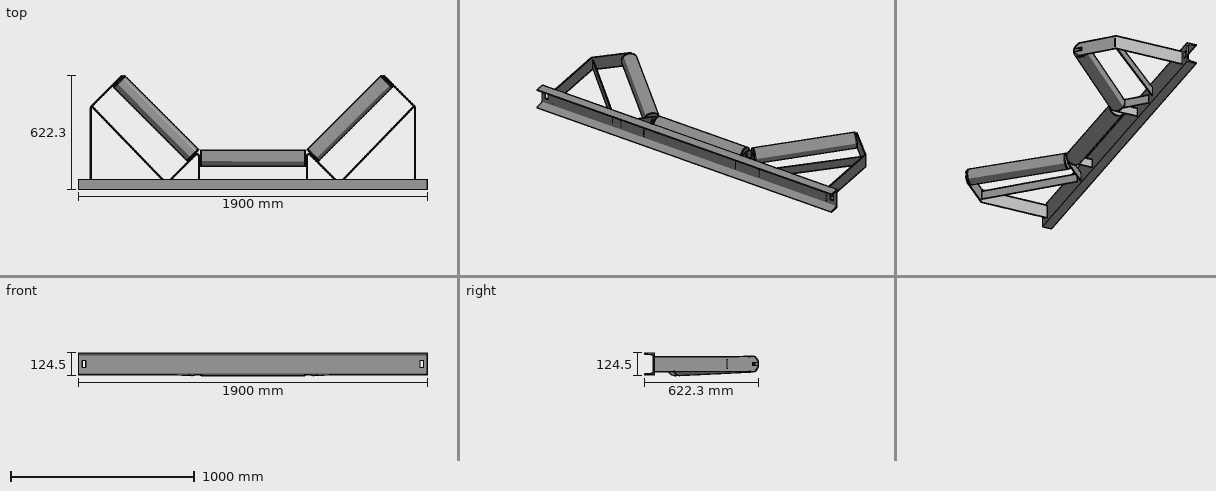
import cadquery as cq
import math


channel_length = 1900.0
channel_height = 120.0
flange_width = 55.0
web_thickness = 7.0
flange_mid_thickness = 9.0
flange_taper = 0.08
root_radius = 9.0
toe_radius = 4.5

mount_slot_width = 18.0
mount_slot_height = 36.0
mount_slot_end_distance = 30.0

shell_diameter = 89.0
shell_length = 560.0
cap_diameter = 88.0
cap_length = 6.5
shaft_width = 18.0
shaft_height = 14.0
roller_clearance = 4.0

trough_angle = math.radians(45)
tilt_angle = math.radians(2)
center_roller_y = 115.0
wing_center_x = -528.5
frame_top_y = 567.31

strip_thickness = 6.0
outer_strip_width = 80.0
inner_strip_width = 50.0
brace_width = 50.0
bend_inner_radius = 8.0
tip_overhang = 34.0
tip_chamfer = 24.0
outer_post_x = -883.0
inner_post_x = -294.0
brace_foot_x = -493.0
brace_offset = 7.0

roller_length = shell_length + 2 * cap_length
shaft_reach = roller_length / 2 + roller_clearance + strip_thickness
support_reach = shaft_reach - strip_thickness / 2
bend_outer_radius = bend_inner_radius + strip_thickness

along = cq.Vector(math.cos(trough_angle), -math.sin(trough_angle), 0)
upward = cq.Vector(math.sin(trough_angle), math.cos(trough_angle), 0)
wing_axis = along * math.cos(tilt_angle) - cq.Vector(0, 0, math.sin(tilt_angle))

wing_center_y = frame_top_y - math.sin(trough_angle) * (shaft_reach + tip_overhang)
wing_drop = roller_length * math.sin(tilt_angle)
center_roller_z = -wing_drop
wing_center_flat = cq.Vector(wing_center_x, wing_center_y, 0)
wing_center = wing_center_flat - cq.Vector(0, 0, wing_drop / 2)

outer_support = wing_center_flat - along * support_reach
inner_support = wing_center_flat + along * support_reach


def slide_to_x(point, direction, x):
    """Move a point along a direction until it reaches the given X."""
    return point + direction * ((x - point.x) / direction.x)


def slide_to_y(point, direction, y):
    """Move a point along a direction until it reaches the given Y."""
    return point + direction * ((y - point.y) / direction.y)


outer_bend = slide_to_x(outer_support, upward, outer_post_x)
inner_bend = slide_to_x(inner_support, upward, inner_post_x)


def make_channel():
    half = channel_height / 2
    toe_z = half - flange_mid_thickness + flange_taper * flange_width / 2
    root_z = toe_z - flange_taper * (flange_width - web_thickness)
    body = (
        cq.Workplane("YZ")
        .workplane(offset=-channel_length / 2)
        .moveTo(0, -half)
        .lineTo(-flange_width, -half)
        .lineTo(-flange_width, -toe_z)
        .lineTo(-web_thickness, -root_z)
        .lineTo(-web_thickness, root_z)
        .lineTo(-flange_width, toe_z)
        .lineTo(-flange_width, half)
        .lineTo(0, half)
        .close()
        .extrude(channel_length)
    )
    for side in (-1, 1):
        root = cq.selectors.NearestToPointSelector((0, -web_thickness, side * root_z))
        body = body.edges("|X").edges(root).fillet(root_radius)
        toe = cq.selectors.NearestToPointSelector((0, -flange_width, side * toe_z))
        body = body.edges("|X").edges(toe).fillet(toe_radius)
    slot_x = channel_length / 2 - mount_slot_end_distance
    slots = (
        cq.Workplane("XZ")
        .pushPoints([(-slot_x, 0), (slot_x, 0)])
        .rect(mount_slot_width, mount_slot_height)
        .extrude(web_thickness)
    )
    return body.cut(slots)


def end_plane(center, axis, length):
    """Plane at the near end of an axial body, with its local x direction level."""
    return cq.Plane(center - axis * (length / 2), axis.cross(cq.Vector(0, 0, 1)), axis)


def axial_cylinder(center, axis, diameter, length):
    """Cylinder of the given length, centred on a point along an axis."""
    return cq.Workplane(end_plane(center, axis, length)).circle(diameter / 2).extrude(length)


def make_roller(center, axis):
    shell = axial_cylinder(center, axis, shell_diameter, shell_length)
    caps = axial_cylinder(center, axis, cap_diameter, roller_length)
    shaft_length = 2 * shaft_reach
    shaft_end = end_plane(center, axis, shaft_length)
    shaft = cq.Workplane(shaft_end).rect(shaft_height, shaft_width).extrude(shaft_length)
    return shell.union(caps).union(shaft)


def make_strip(start, end, width, middle_z):
    """Straight strip in the XY plane, centred on the line from start to end."""
    run = end - start
    side = cq.Vector(-run.y, run.x, 0).normalized() * (strip_thickness / 2)
    corners = [start + side, end + side, end - side, start - side]
    return (
        cq.Workplane("XY")
        .workplane(offset=middle_z - width / 2)
        .polyline([(corner.x, corner.y) for corner in corners])
        .close()
        .extrude(width)
    )


def make_bent_strip(start, bend, end, width, middle_z):
    """Strip in the XY plane with one rounded bend."""
    run_in = (bend - start).normalized()
    run_out = (end - bend).normalized()
    inside = (run_out - run_in).normalized()
    miter = inside * (strip_thickness / 2 / math.sin(run_in.getAngle(run_out * -1) / 2))
    square_in = cq.Vector(-run_in.y, run_in.x, 0) * (strip_thickness / 2)
    square_out = cq.Vector(-run_out.y, run_out.x, 0) * (strip_thickness / 2)
    turn = 1 if square_in.dot(inside) > 0 else -1
    outline = [
        start + square_in * turn,
        bend + miter,
        end + square_out * turn,
        end - square_out * turn,
        bend - miter,
        start - square_in * turn,
    ]
    strip = (
        cq.Workplane("XY")
        .workplane(offset=middle_z - width / 2)
        .polyline([(point.x, point.y) for point in outline])
        .close()
        .extrude(width)
    )
    for corner, radius in ((bend + miter, bend_inner_radius), (bend - miter, bend_outer_radius)):
        nearest = cq.selectors.NearestToPointSelector((corner.x, corner.y, middle_z))
        strip = strip.edges("|Z").edges(nearest).fillet(radius)
    return strip


def trim_at_web(strip):
    """Remove whatever reaches below the channel web face, Y = 0."""
    size = channel_length
    return strip.cut(cq.Workplane("XY").box(size, size, size).translate((0, -size / 2, 0)))


def make_outer_strip():
    """Post and arm that carry the outer end of the wing roller in an open slot."""
    tip = outer_support + upward * tip_overhang
    foot = cq.Vector(outer_post_x, 0, 0)
    strip = make_bent_strip(foot, outer_bend, tip, outer_strip_width, 0)
    for side in (-1, 1):
        tip_corner = cq.selectors.NearestToPointSelector((tip.x, tip.y, side * outer_strip_width / 2))
        faces_along = cq.selectors.ParallelDirSelector(along)
        strip = strip.edges(faces_along).edges(tip_corner).chamfer(tip_chamfer)
    cut_depth = 4 * strip_thickness
    slot_plane = cq.Plane(outer_support - along * (cut_depth / 2), upward, along)
    slot = (
        cq.Workplane(slot_plane)
        .center(tip_overhang / 2, 0)
        .rect(tip_overhang, shaft_width)
        .extrude(cut_depth)
    )
    return strip.cut(slot)


def make_inner_strip():
    """Sloped arm for the wing roller, bent down into a post for the centre roller."""
    arm_foot = slide_to_y(inner_support, upward, -strip_thickness)
    post_foot = cq.Vector(inner_post_x, 0, 0)
    strip = make_bent_strip(arm_foot, inner_bend, post_foot, inner_strip_width, center_roller_z)
    return trim_at_web(strip)


def make_brace():
    """Sloped strip from just above the bend of the outer strip down to the channel."""
    foot = cq.Vector(brace_foot_x, 0, 0)
    joint = outer_bend + upward * brace_offset
    slope = (foot - joint).normalized()
    top = joint + slope * (strip_thickness / 2)
    return trim_at_web(make_strip(top, foot + slope * strip_thickness, brace_width, 0))


channel = make_channel()
center_roller = make_roller(cq.Vector(0, center_roller_y, center_roller_z), cq.Vector(1, 0, 0))
wing_roller = make_roller(wing_center, wing_axis)

outer_strip = make_outer_strip().cut(wing_roller)
inner_strip = make_inner_strip().cut(wing_roller).cut(center_roller)
brace = make_brace().cut(outer_strip)

bodies = [channel.solids().val(), center_roller.solids().val()]
for left_part in (wing_roller, outer_strip, inner_strip, brace):
    left_solid = left_part.solids().val()
    bodies.append(left_solid)
    bodies.append(left_solid.mirror("YZ"))

result = cq.Compound.makeCompound(bodies)